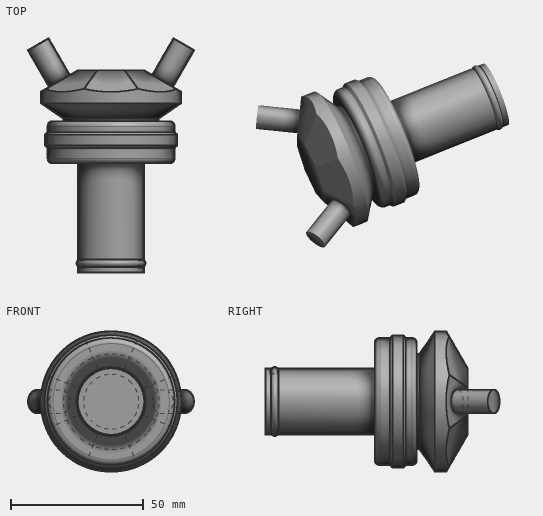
import cadquery as cq
import math


shaft_diameter = 25.0
groove_diameter = 20.8
groove_start = 2.0
groove_width = 3.0
ring_section = 2.65

collar_diameter = 48.0
collar_start = 41.2
collar_length = 16.0
collar_round = 2.0
band_diameter = 50.0
band_start = 47.0
band_width = 6.0
band_chamfer = (band_diameter - collar_diameter) / 2

neck_diameter = 36.0
neck_length = 1.0
head_diameter = 53.0
flare_length = 5.8
head_end = 76.3
facet_count = 8
facet_slope = 30.0
head_face_width = 24.7

pin_diameter = 9.0
pin_length = 16.0

collar_end = collar_start + collar_length
neck_end = collar_end + neck_length
flare_end = neck_end + flare_length
facet_run = (head_diameter - head_face_width) / 2
facet_drop = facet_run * math.tan(math.radians(facet_slope))


def cylinder(diameter, start, length):
    """Solid cylinder along +Y."""
    base = cq.Workplane("XZ", origin=(0, start, 0))
    return base.circle(diameter / 2).extrude(-length)


def make_shaft():
    shaft = cylinder(shaft_diameter, 0, collar_start)
    groove = cylinder(shaft_diameter, groove_start, groove_width)
    groove = groove.cut(cylinder(groove_diameter, groove_start, groove_width))
    return shaft.cut(groove)


def make_collar():
    collar = cylinder(collar_diameter, collar_start, collar_length)
    collar = collar.faces("<Y or >Y").edges().fillet(collar_round)
    band = cylinder(band_diameter, band_start, band_width)
    return collar.union(band.faces("<Y or >Y").edges().chamfer(band_chamfer))


def make_flare():
    """Cone widening from the neck to the rim of the head."""
    profile = (
        cq.Workplane("XY")
        .moveTo(0, neck_end)
        .lineTo(neck_diameter / 2, neck_end)
        .lineTo(head_diameter / 2, flare_end)
        .lineTo(0, flare_end)
        .close()
    )
    return profile.revolve(360, (0, 0, 0), (0, 1, 0))


def octagon_corners(width_across_flats):
    """Corners of an octagon with flats facing X and Z."""
    radius = width_across_flats / 2 / math.cos(math.pi / facet_count)
    angles = [(2 * i + 1) * math.pi / facet_count for i in range(facet_count)]
    return [(radius * math.cos(a), radius * math.sin(a)) for a in angles]


def make_head():
    """Cylindrical rim trimmed by an octagonal pyramid."""
    rim = cylinder(head_diameter, flare_end, head_end - flare_end)
    pyramid_height = head_end - flare_end
    pyramid_run = pyramid_height / math.tan(math.radians(facet_slope))
    base_width = head_face_width + 2 * pyramid_run
    pyramid = (
        cq.Workplane("XZ", origin=(0, flare_end, 0))
        .polyline(octagon_corners(base_width))
        .close()
        .workplane(offset=-pyramid_height)
        .polyline(octagon_corners(head_face_width))
        .close()
        .loft(ruled=True)
    )
    return rim.intersect(pyramid)


def make_pin(side):
    """Pin standing on the middle of the facet at the given side of X."""
    base_x = side * (head_diameter + head_face_width) / 4
    base_y = head_end - facet_drop / 2
    lean = math.radians(facet_slope)
    direction = cq.Vector(side * math.sin(lean), math.cos(lean), 0)
    base = cq.Vector(base_x, base_y, 0)
    return cq.Solid.makeCylinder(pin_diameter / 2, pin_length, base, direction)


def make_body():
    body = make_shaft()
    body = body.union(make_collar())
    body = body.union(cylinder(neck_diameter, collar_end, neck_length))
    body = body.union(make_flare())
    body = body.union(make_head())
    for side in (-1, 1):
        body = body.union(cq.Workplane(make_pin(side)))
    return body


def make_o_ring():
    """Round-section ring seated on the floor of the groove."""
    ring_radius = (groove_diameter + ring_section) / 2
    ring_y = groove_start + groove_width / 2
    section = cq.Workplane("XY").center(ring_radius, ring_y).circle(ring_section / 2)
    return section.revolve(360, (-ring_radius, 0, 0), (-ring_radius, 1, 0))


body = make_body()
o_ring = make_o_ring()
result = cq.Compound.makeCompound([body.val(), o_ring.val()])